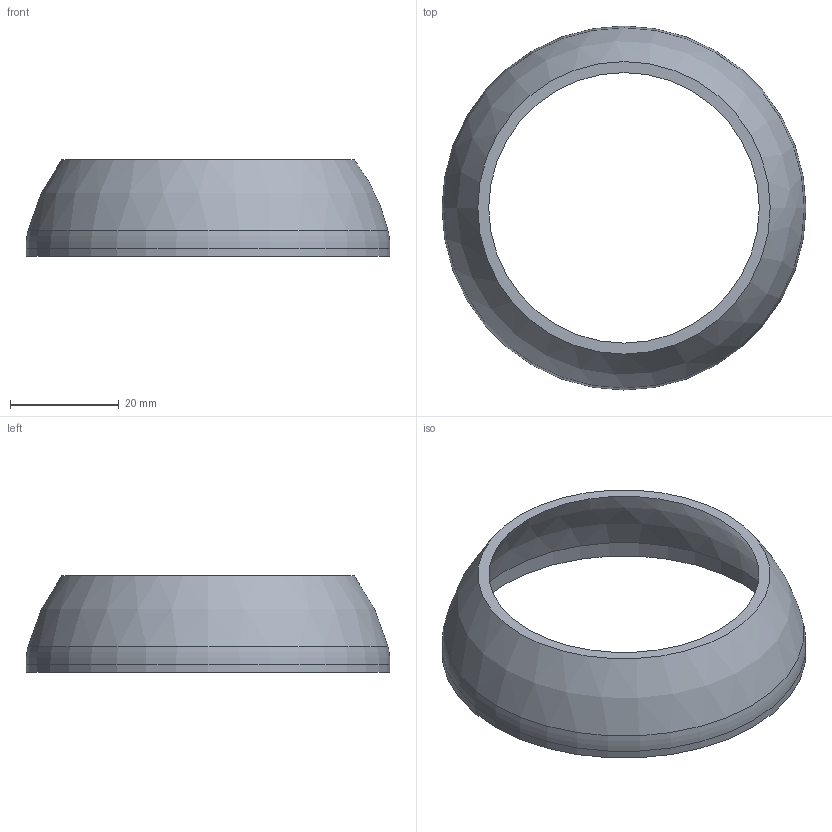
import cadquery as cq
import math

height = 17.74
base_radius = 67 / 2
base_bore_radius = 62 / 2
top_bore_radius = 24.9

dome_centre_z = -3.07
blend_radius = 14.0
base_wall_height = 1.5

bore_height = 3.0


def sphere_radius_at(z, radius, centre_z):
    """Distance from the axis to a sphere centred on the axis, at height z."""
    return math.sqrt(radius**2 - (z - centre_z) ** 2)


def point_on_sphere(angle, radius, centre_z):
    """Profile point on a sphere at an elevation angle above its centre."""
    return (radius * math.cos(angle), centre_z + radius * math.sin(angle))


def elevation(point, centre_z):
    """Elevation angle of a profile point seen from a centre on the axis."""
    return math.atan2(point[1] - centre_z, point[0])


blend_rise = base_wall_height - dome_centre_z
blend_centre_r = base_radius - blend_radius
dome_radius = blend_radius + math.hypot(blend_centre_r, blend_rise)
blend_angle = math.atan2(blend_rise, blend_centre_r)
blend_start = (base_radius, base_wall_height)
blend_middle = (
    blend_centre_r + blend_radius * math.cos(blend_angle / 2),
    base_wall_height + blend_radius * math.sin(blend_angle / 2),
)
blend_end = point_on_sphere(blend_angle, dome_radius, dome_centre_z)

dome_top = (sphere_radius_at(height, dome_radius, dome_centre_z), height)
dome_middle_angle = (blend_angle + elevation(dome_top, dome_centre_z)) / 2
dome_middle = point_on_sphere(dome_middle_angle, dome_radius, dome_centre_z)

inner_top = (top_bore_radius, height)
inner_bottom = (base_bore_radius, bore_height)
inner_centre_z = (
    top_bore_radius**2 + height**2 - base_bore_radius**2 - bore_height**2
) / (2 * (height - bore_height))
inner_radius = math.hypot(base_bore_radius, bore_height - inner_centre_z)
inner_middle_angle = (
    elevation(inner_top, inner_centre_z) + elevation(inner_bottom, inner_centre_z)
) / 2
inner_middle = point_on_sphere(inner_middle_angle, inner_radius, inner_centre_z)

section = (
    cq.Workplane("XZ")
    .moveTo(base_bore_radius, 0)
    .lineTo(base_radius, 0)
    .lineTo(*blend_start)
    .threePointArc(blend_middle, blend_end)
    .threePointArc(dome_middle, dome_top)
    .lineTo(*inner_top)
    .threePointArc(inner_middle, inner_bottom)
    .close()
)

result = section.revolve(360, (0, 0, 0), (0, 1, 0))